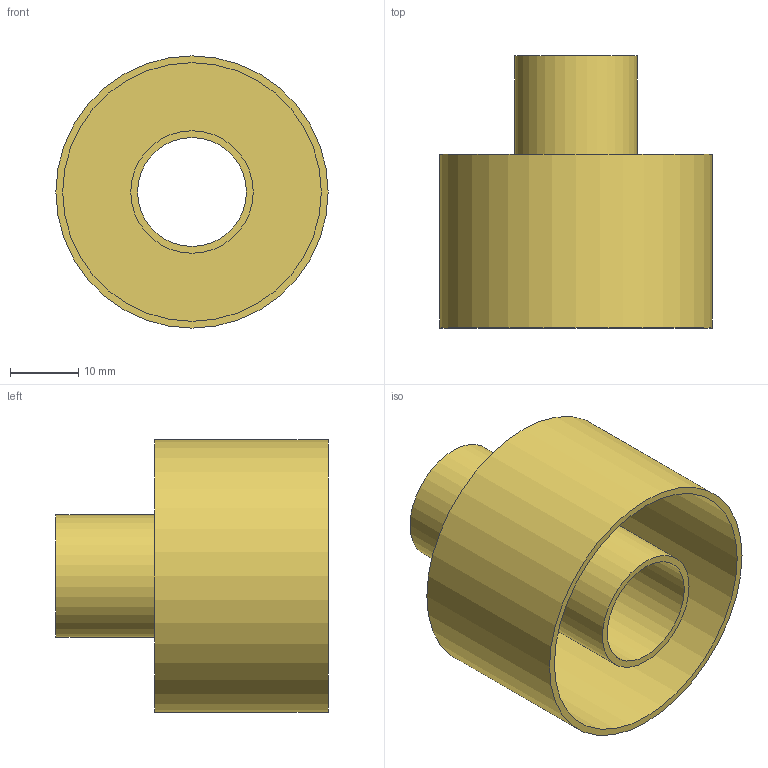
import cadquery as cq

wall = 1.0
cup_diameter = 40.0
cup_length = 25.5
tube_bore = 16.0
total_length = 40.0

cup_inner_diameter = cup_diameter - 2 * wall
cup_depth = cup_length - wall
tube_diameter = tube_bore + 2 * wall


def cylinder_along_y(diameter, length):
    """Solid cylinder on the Y axis, from the rim plane Y = 0 toward +Y."""
    return cq.Workplane("XZ").circle(diameter / 2).extrude(-length)


def make_cup():
    """Round cup, open toward -Y, with a flat floor at its +Y end."""
    outside = cylinder_along_y(cup_diameter, cup_length)
    cavity = cylinder_along_y(cup_inner_diameter, cup_depth)
    return outside.cut(cavity)


def add_tube(cup):
    """Tube on the cup axis, flush with the rim and passing through the floor."""
    tube = cylinder_along_y(tube_diameter, total_length)
    bore = cylinder_along_y(tube_bore, total_length)
    return cup.union(tube).cut(bore)


result = add_tube(make_cup())